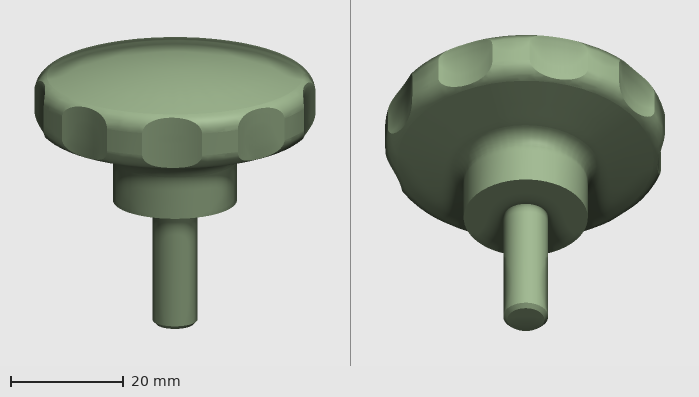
import cadquery as cq
import math

stud_radius = 4.0
stud_chamfer = 0.7

hub_radius = 11.05
hub_bottom = 23.0
hub_top = 30.65
flare_radius = 2.95

rim_diameter = 50.0
rim_radius = rim_diameter / 2
rim_edge_radius = 22.8
rim_bottom = 36.05
rim_top = 46.15
band_height = 4.1
rim_rounding = 3.25
knob_top = 49.0

scallop_count = 9
scallop_radius = 16.25
scallop_floor = 23.55

rim_middle = (rim_bottom + rim_top) / 2
band_bottom = rim_middle - band_height / 2
band_top = rim_middle + band_height / 2

flare_center_x = hub_radius + flare_radius
edge_run = rim_edge_radius - flare_center_x
edge_rise = rim_bottom - hub_top
cone_angle = math.atan2(edge_rise, edge_run) - math.asin(flare_radius / math.hypot(edge_run, edge_rise))


def flare_point(angle):
    """Point on the concave flare arc, with the angle measured from +X."""
    return (
        flare_center_x + flare_radius * math.cos(angle),
        hub_top + flare_radius * math.sin(angle),
    )


def make_body():
    """Revolve the hub, the underside, the rim and the domed top."""
    cone_start_angle = math.pi / 2 + cone_angle
    flare_middle_angle = (math.pi + cone_start_angle) / 2
    dome_rise = knob_top - rim_top
    dome_radius = (rim_edge_radius**2 + dome_rise**2) / (2 * dome_rise)
    dome_middle_x = rim_edge_radius / 2
    dome_middle_z = knob_top - dome_radius + math.sqrt(dome_radius**2 - dome_middle_x**2)
    profile = (
        cq.Workplane("XZ")
        .moveTo(0, hub_bottom)
        .lineTo(hub_radius, hub_bottom)
        .lineTo(hub_radius, hub_top)
        .threePointArc(flare_point(flare_middle_angle), flare_point(cone_start_angle))
        .lineTo(rim_edge_radius, rim_bottom)
        .radiusArc((rim_radius, band_bottom), -rim_rounding)
        .lineTo(rim_radius, band_top)
        .radiusArc((rim_edge_radius, rim_top), -rim_rounding)
        .threePointArc((dome_middle_x, dome_middle_z), (0, knob_top))
        .close()
    )
    return profile.revolve(360, (0, 0, 0), (0, 1, 0))


def make_scallops():
    """Upright cylinders that cut the finger grips around the rim."""
    return (
        cq.Workplane("XY")
        .workplane(offset=hub_top)
        .polarArray(scallop_floor + scallop_radius, -90, 360, scallop_count)
        .circle(scallop_radius)
        .extrude(knob_top - hub_top, combine=False)
    )


def make_stud():
    """Plain stud with a chamfered tip, ending at the hub face."""
    return cq.Workplane("XY").circle(stud_radius).extrude(hub_bottom).faces("<Z").chamfer(stud_chamfer)


body = make_body()
for scallop in make_scallops().solids().vals():
    body = body.cut(cq.Workplane(scallop))
result = body.union(make_stud())